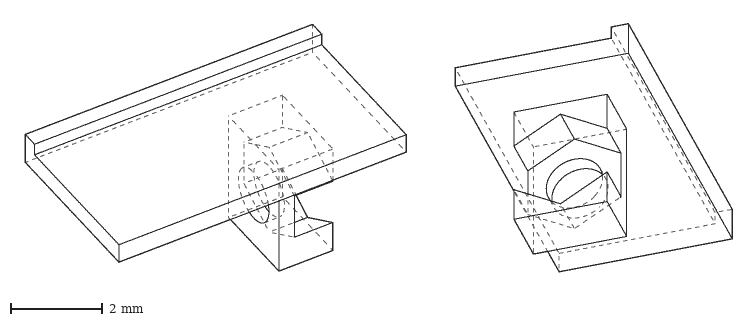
import cadquery as cq
import math

plate_width = 4.0
plate_length = 7.35
plate_thickness = 0.5
lip_width = 0.4
lip_height = 0.3

leg_width = 2.15
leg_depth = 1.38
leg_height = 2.895
leg_back_inset = 1.32
web_thickness = 0.4
upper_block_height = 0.92
foot_height = 0.8
pocket_slope = 30.0

hole_diameter = 1.3
hole_drop = 1.49

leg_back = plate_length / 2 - leg_back_inset
leg_front = leg_back - leg_depth


def make_plate():
    """Plate with its underside at Z = 0, centred in X and Y."""
    left = -plate_width / 2
    plate = cq.Workplane("XY").box(
        plate_width, plate_length, plate_thickness, centered=(True, True, False)
    )
    lip = cq.Workplane("XY").box(
        lip_width, plate_length, plate_thickness + lip_height, centered=(False, True, False)
    )
    return plate.union(lip.translate((left, 0, 0)))


def make_nut_pocket():
    """Hexagonal pocket, open towards +Y and on both sides, peaked at the leg's centre."""
    half_width = leg_width / 2
    side_top = -upper_block_height
    side_bottom = -leg_height + foot_height
    peak_rise = half_width * math.tan(math.radians(pocket_slope))
    return (
        cq.Workplane("XZ", origin=(0, leg_back, 0))
        .moveTo(-half_width, side_bottom)
        .lineTo(-half_width, side_top)
        .lineTo(0, side_top + peak_rise)
        .lineTo(half_width, side_top)
        .lineTo(half_width, side_bottom)
        .lineTo(0, side_bottom - peak_rise)
        .close()
        .extrude(leg_depth - web_thickness)
    )


def make_leg():
    """Leg below the plate with the nut pocket and a round hole through it."""
    leg = cq.Workplane("XY", origin=(0, leg_front, -leg_height)).box(
        leg_width, leg_depth, leg_height, centered=(True, False, False)
    )
    hole = (
        cq.Workplane("XZ", origin=(0, leg_back, -hole_drop))
        .circle(hole_diameter / 2)
        .extrude(leg_depth)
    )
    return leg.cut(make_nut_pocket()).cut(hole)


result = make_plate().union(make_leg())